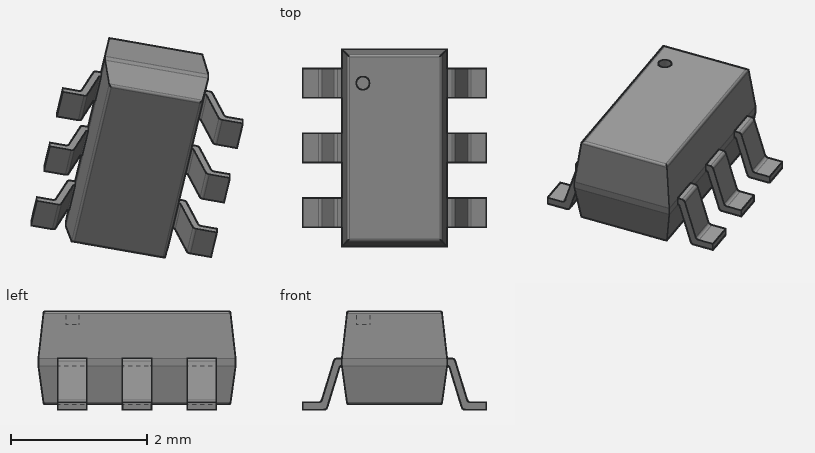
import cadquery as cq
import math

body_width = 1.55
body_length = 2.9
body_top = 1.45
body_bottom = 0.078
face_inset = 0.078
edge_radius = 0.038

lead_span = 2.7
lead_thickness = 0.11
lead_width = 0.432
lead_pitch = 0.95
leads_per_side = 3
shoulder_reach = 0.882
knee_reach = 1.08
bend_radius = 0.052
shoulder_inner_radius = 0.03

band_top = 0.755
band_bottom = band_top - lead_thickness

mark_diameter = 0.195
mark_depth = mark_diameter
mark_x = -0.465
mark_y = lead_pitch * (leads_per_side - 1) / 2


def make_tapered_block(height):
    """Block rising from the band outline and narrowing by face_inset on every side."""
    taper_angle = math.degrees(math.atan(face_inset / abs(height)))
    return cq.Workplane("XY").rect(body_width, body_length).extrude(height, taper=taper_angle)


def make_housing():
    band = (
        cq.Workplane("XY", origin=(0, 0, band_bottom))
        .rect(body_width, body_length)
        .extrude(band_top - band_bottom)
    )
    upper = make_tapered_block(body_top - band_top).translate((0, 0, band_top))
    lower = make_tapered_block(body_bottom - band_bottom).translate((0, 0, band_bottom))
    block = band.union(upper).union(lower)
    block = block.faces(">Z").edges().fillet(edge_radius)
    block = block.faces("<Z").edges().fillet(edge_radius)
    mark = (
        cq.Workplane("XY", origin=(mark_x, mark_y, body_top - mark_depth))
        .circle(mark_diameter / 2)
        .extrude(mark_depth)
    )
    return block.cut(mark)


def make_lead(side, y_center):
    """Lead on the +X (side = 1) or -X (side = -1) flank, ending flush on the band."""
    root = body_width / 2
    tip = lead_span / 2
    leg_angle = math.atan2(band_top - lead_thickness, knee_reach - shoulder_reach)
    corner_shift = lead_thickness * math.tan(leg_angle / 2)
    outline = [
        (root, band_top),
        (shoulder_reach, band_top),
        (knee_reach, lead_thickness),
        (tip, lead_thickness),
        (tip, 0),
        (knee_reach - corner_shift, 0),
        (shoulder_reach - corner_shift, band_bottom),
        (root, band_bottom),
    ]
    blank = (
        cq.Workplane("XZ", origin=(0, y_center, 0))
        .polyline([(side * x, z) for x, z in outline])
        .close()
        .extrude(lead_width / 2, both=True)
    )

    def bend_edge(x, z):
        return cq.selectors.NearestToPointSelector((side * x, y_center, z))

    lead = blank.edges("|Y").edges(bend_edge(shoulder_reach, band_top)).fillet(bend_radius)
    lead = lead.edges("|Y").edges(bend_edge(knee_reach, lead_thickness)).fillet(bend_radius)
    lead = lead.edges("|Y").edges(bend_edge(knee_reach - corner_shift, 0)).fillet(bend_radius)
    inner_shoulder = bend_edge(shoulder_reach - corner_shift, band_bottom)
    return lead.edges("|Y").edges(inner_shoulder).fillet(shoulder_inner_radius)


housing = make_housing()

leads = []
for side in (-1, 1):
    for position in range(leads_per_side):
        y_center = (position - (leads_per_side - 1) / 2) * lead_pitch
        leads.append(make_lead(side, y_center))

result = cq.Compound.makeCompound([housing.val(), *[lead.val() for lead in leads]])